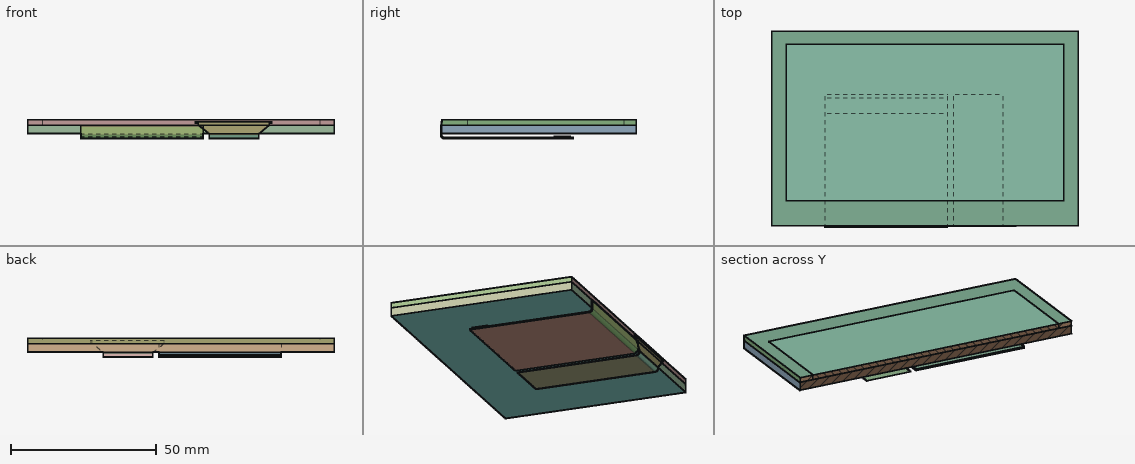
import cadquery as cq
import math

panel_width = 105.4
overall_depth = 67.2
overall_height = 6.5
main_thickness = 0.4
panel_depth = overall_depth - main_thickness
cover_thickness = 1.9
panel_thickness = 4.8
backlight_thickness = panel_thickness - cover_thickness

window_width = 95.3
window_depth = 53.8
window_front_margin = 8.6

touch_thickness = 0.2
fold_radius = 1.3
flex_end = 45.1
flex_bottom = -overall_height

main_left = -34.4
main_right = 7.6
main_width = main_right - main_left
main_top = -cover_thickness

touch_top = -0.7
tab_bottom = -1.3
tab_left = 5.0
tab_right = 31.1
neck_left = 6.0
neck_right = 30.4
tail_left = 9.7
tail_right = 26.8
taper_bottom = -panel_thickness

component_depth = 5.5
component_height = 0.3
component_end_gap = 1.1


def slab(width, depth, thickness, front, top):
    """Rectangular plate centred on X."""
    plate = cq.Workplane("XY").box(width, depth, thickness, centered=(True, False, False))
    return plate.translate((0, front, top - thickness))


def arc_point(center_y, center_z, radius, y_sign, z_sign):
    """Midpoint of a quarter arc in the YZ plane, in the quadrant given by the signs."""
    offset = radius * math.sqrt(0.5)
    return (center_y + y_sign * offset, center_z + z_sign * offset)


def folded_sheet(left, right, top, thickness):
    """Sheet lying on the front face, with a rounded lip, a vertical leg, a fold and a run under the panel."""
    outer = -thickness
    inner_bottom = flex_bottom + thickness
    lip_bottom = top - thickness
    fold_y = outer + fold_radius
    fold_z = flex_bottom + fold_radius
    inner_radius = fold_radius - thickness
    profile = (
        cq.Workplane("YZ")
        .moveTo(0, top)
        .threePointArc(arc_point(0, lip_bottom, thickness, -1, 1), (outer, lip_bottom))
        .lineTo(outer, fold_z)
        .threePointArc(arc_point(fold_y, fold_z, fold_radius, -1, -1), (fold_y, flex_bottom))
        .lineTo(flex_end, flex_bottom)
        .lineTo(flex_end, inner_bottom)
        .lineTo(fold_y, inner_bottom)
        .threePointArc(arc_point(fold_y, fold_z, inner_radius, -1, -1), (0, fold_z))
        .close()
    )
    return profile.extrude(right - left).translate((left, 0, 0))


def touch_outline():
    """Tapered front outline of the touch circuit, as a block cutting through its full depth."""
    outline = cq.Workplane("XZ").polyline([
        (tab_left, touch_top),
        (tab_right, touch_top),
        (tab_right, tab_bottom),
        (neck_right, tab_bottom),
        (neck_right, -cover_thickness),
        (tail_right, taper_bottom),
        (tail_right, flex_bottom),
        (tail_left, flex_bottom),
        (tail_left, taper_bottom),
        (neck_left, -cover_thickness),
        (neck_left, tab_bottom),
        (tab_left, tab_bottom),
    ]).close()
    return outline.extrude(overall_depth, both=True)


window = slab(window_width, window_depth, cover_thickness, window_front_margin, 0)
cover = slab(panel_width, panel_depth, cover_thickness, 0, 0).cut(window)

backlight = slab(panel_width, panel_depth, backlight_thickness, 0, -cover_thickness)

touch_flex = folded_sheet(tab_left, tab_right, touch_top, touch_thickness)
touch_flex = touch_flex.intersect(touch_outline())

main_flex = folded_sheet(main_left, main_right, main_top, main_thickness).cut(touch_flex)

component = (
    cq.Workplane("XY")
    .box(main_width, component_depth, component_height, centered=False)
    .translate((main_left, flex_end - component_end_gap - component_depth, flex_bottom + main_thickness))
)

result = cq.Compound.makeCompound([
    cover.val(),
    window.val(),
    backlight.val(),
    touch_flex.val(),
    main_flex.val(),
    component.val(),
])